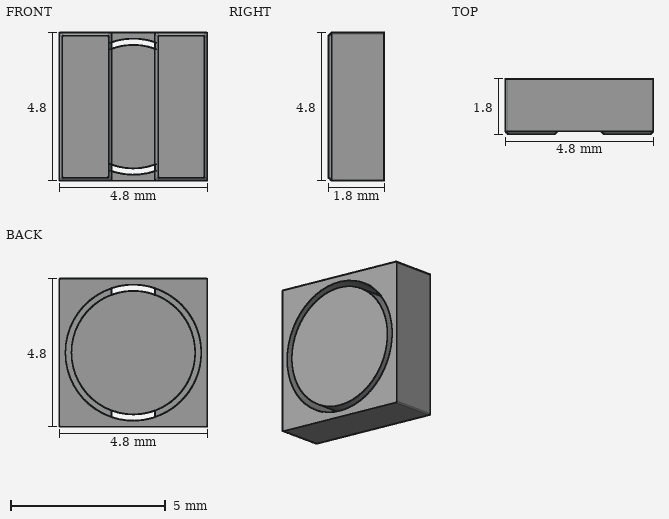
import cadquery as cq
import math

side = 4.8
total_depth = 1.8
pad_thickness = 0.1
body_depth = total_depth - pad_thickness
corner_radius = 0.05

bore_radius = 2.2
core_radius = 2.0

pad_width = 1.7
pad_bevel_angle = 45
pad_corner_radius = math.sqrt(2) * corner_radius

back_y = total_depth / 2
body_front_y = back_y - body_depth


def front_plane(x=0):
    """Plane on the body's front face, with its normal pointing to -Y."""
    return cq.Workplane("XZ", origin=(x, body_front_y, 0))


def make_body():
    """Square frame with small rounds on its four corners and a round bore."""
    frame = front_plane().rect(side, side).extrude(-body_depth)
    frame = frame.edges("|Y").fillet(corner_radius)
    bore = front_plane().circle(bore_radius).extrude(-body_depth)
    return frame.cut(bore)


def make_core():
    return front_plane().circle(core_radius).extrude(-body_depth)


def make_pad(direction):
    """Terminal strip on the left (-1) or right (+1) of the front face."""
    center_x = direction * (side - pad_width) / 2
    base = front_plane(center_x).rect(pad_width, side)
    pad = base.extrude(pad_thickness, taper=pad_bevel_angle)
    return pad.edges("not #Y").fillet(pad_corner_radius)


result = make_body()
for direction in (-1, 1):
    result = result.union(make_pad(direction))
result = result.union(make_core())